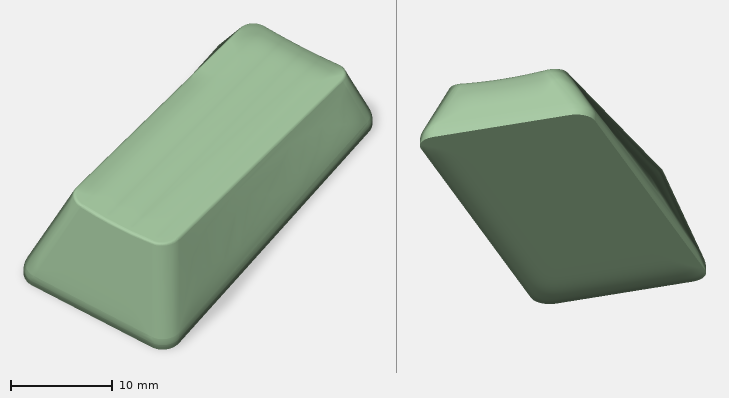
import cadquery as cq

width = 18.15
length = 37.2
corner_radius = 1.97

bend_height = 1.0
bend_reach = 0.35

rim_width = 12.05
front_rim_y = -14.1
front_rim_z = 9.97
rear_rim_y = 18.2
rear_rim_z = 5.95
rim_corner_radius = 1.85
rim_edge_radius = 0.35

dish_depth = 0.4
overshoot = 1.15

bend_corners = [
    cq.Vector(-width / 2, -length / 2, bend_height),
    cq.Vector(width / 2, -length / 2, bend_height),
    cq.Vector(width / 2, length / 2, bend_height),
    cq.Vector(-width / 2, length / 2, bend_height),
]
rim_corners = [
    cq.Vector(-rim_width / 2, front_rim_y, front_rim_z),
    cq.Vector(rim_width / 2, front_rim_y, front_rim_z),
    cq.Vector(rim_width / 2, rear_rim_y, rear_rim_z),
    cq.Vector(-rim_width / 2, rear_rim_y, rear_rim_z),
]


def rounded_outline(points, radius):
    """Closed outline through the points, with every corner rounded."""
    outline = cq.Wire.makePolygon(points, close=True)
    return outline.fillet2D(radius, outline.Vertices())


def make_skirt():
    """Upright band around the foot, up to the start of the bend."""
    skirt = cq.Workplane("XY").rect(width, length).extrude(bend_height - bend_reach)
    return skirt.edges("|Z").fillet(corner_radius)


def wall_corners_at_bend_end():
    """Corners of the level outline where the bend runs out into the walls."""
    corners = []
    for base, rim in zip(bend_corners, rim_corners):
        fraction = bend_reach / (rim.z - base.z)
        corners.append(base + (rim - base) * fraction)
    return corners


def make_bend():
    """Rounded band from the upright skirt into the walls, parabolic in section."""
    drop = cq.Vector(0, 0, bend_reach)
    lower = [corner - drop for corner in bend_corners]
    upper = wall_corners_at_bend_end()
    middle = [(low + high) * 0.25 + corner * 0.5
              for low, corner, high in zip(lower, bend_corners, upper)]
    outlines = [rounded_outline(points, corner_radius) for points in (lower, middle, upper)]
    return cq.Workplane(cq.Solid.makeLoft(outlines))


def make_walls():
    """Ruled walls from the bend up past the tilted rim."""
    top = [base + (rim - base) * overshoot for base, rim in zip(bend_corners, rim_corners)]
    outlines = [
        rounded_outline(wall_corners_at_bend_end(), corner_radius),
        rounded_outline(top, rim_corner_radius),
    ]
    return cq.Workplane(cq.Solid.makeLoft(outlines, True))


def make_dish():
    """Cylinder that hollows the top, its axis parallel to the slope of the rim."""
    dish_radius = ((rim_width / 2) ** 2 + dish_depth ** 2) / (2 * dish_depth)
    slope = cq.Vector(0, rear_rim_y - front_rim_y, rear_rim_z - front_rim_z).normalized()
    upward = cq.Vector(0, -slope.z, slope.y)
    front_rim_middle = cq.Vector(0, front_rim_y, front_rim_z)
    start = front_rim_middle + upward * (dish_radius - dish_depth) - slope * length
    return cq.Workplane(cq.Solid.makeCylinder(dish_radius, 3 * length, start, slope))


keycap = make_skirt().union(make_bend()).union(make_walls())
keycap = keycap.cut(make_dish())
result = keycap.faces(">Z").edges().fillet(rim_edge_radius)